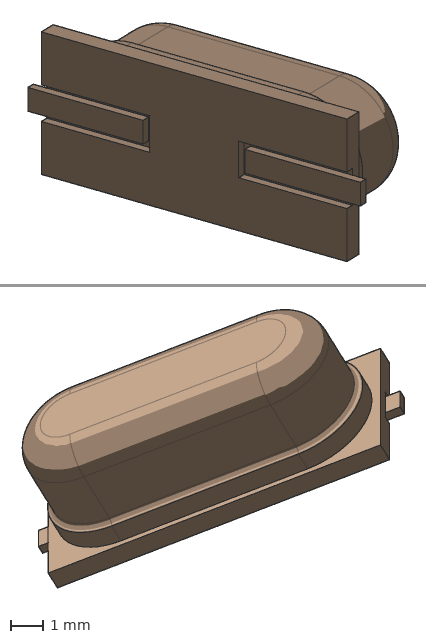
import cadquery as cq

plate_length = 11.4
plate_height = 4.84
plate_thickness = 0.65

lead_span = 12.4
lead_length = 4.3
lead_height = 0.8
lead_thickness = 0.3
recess_inner_gap = 3.32
recess_height = 1.24

total_depth = 4.24
straight_length = 6.4
cover_height = 4.0
flange_height = 4.41
flange_thickness = 0.65
neck_radius = 0.17
seam_margin = 0.06
crown_radius = 0.99

outer_face = -total_depth / 2
plate_back = outer_face + plate_thickness
flange_back = plate_back + flange_thickness
cover_top = total_depth / 2


def block(length, depth, height, x_center, y_start):
    """Box centered on x_center and Z = 0, reaching from y_start toward +Y."""
    return cq.Workplane("XY").box(length, depth, height).translate((x_center, y_start + depth / 2, 0))


def stadium(height, y_start, y_end):
    """Stadium prism, long in X, extruded along Y."""
    return (
        cq.Workplane("XZ", origin=(0, y_start, 0))
        .slot2D(straight_length + height, height)
        .extrude(y_start - y_end)
    )


def can():
    """Flange and domed cover, joined by a concave fillet around the neck."""
    flange = stadium(flange_height, plate_back, flange_back)
    cover = stadium(cover_height, flange_back, cover_top).faces(">Y").edges().fillet(crown_radius)
    body = flange.union(cover)
    reach_x = (straight_length + cover_height + seam_margin) / 2
    reach_z = (cover_height + seam_margin) / 2
    seam = body.edges(
        cq.selectors.BoxSelector(
            (-reach_x, flange_back - seam_margin, -reach_z),
            (reach_x, flange_back + seam_margin, reach_z),
            boundingbox=True,
        )
    )
    return seam.fillet(neck_radius)


def lead_recess(side):
    length = (plate_length - recess_inner_gap) / 2
    x_center = side * (plate_length / 2 - length / 2)
    return block(length, lead_thickness, recess_height, x_center, outer_face)


def lead(side):
    x_center = side * (lead_span - lead_length) / 2
    return block(lead_length, lead_thickness, lead_height, x_center, outer_face)


result = block(plate_length, plate_thickness, plate_height, 0, outer_face).union(can())
for side in (-1, 1):
    result = result.cut(lead_recess(side)).union(lead(side))